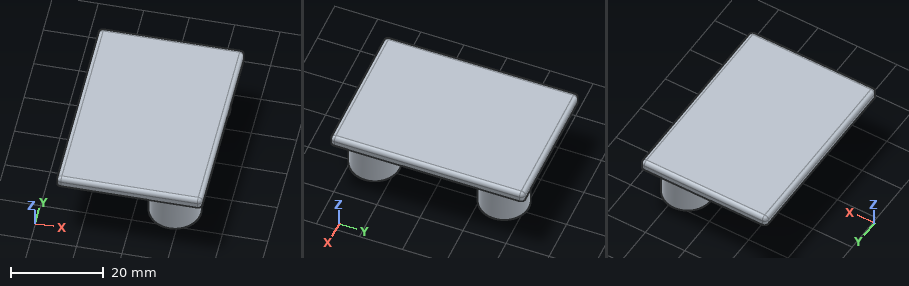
import cadquery as cq

plate_width = 32.0
plate_length = 45.0
plate_thickness = 2.35
edge_radius = 1.0

peg_diameter = 11.5
peg_height = 10.0
peg_offset_x = 8.6
peg_spacing = 30.0


def make_plate():
    """Plate with rounded vertical corners and a rounded top rim."""
    plate = cq.Workplane("XY").box(
        plate_width, plate_length, plate_thickness, centered=(True, True, False)
    )
    return plate.edges("|Z or >Z").fillet(edge_radius)


def make_pegs():
    """Pair of pegs hanging from the underside of the plate."""
    peg_centers = [(peg_offset_x, side * peg_spacing / 2) for side in (-1, 1)]
    return (
        cq.Workplane("XY")
        .pushPoints(peg_centers)
        .circle(peg_diameter / 2)
        .extrude(-peg_height)
    )


result = make_plate().union(make_pegs())